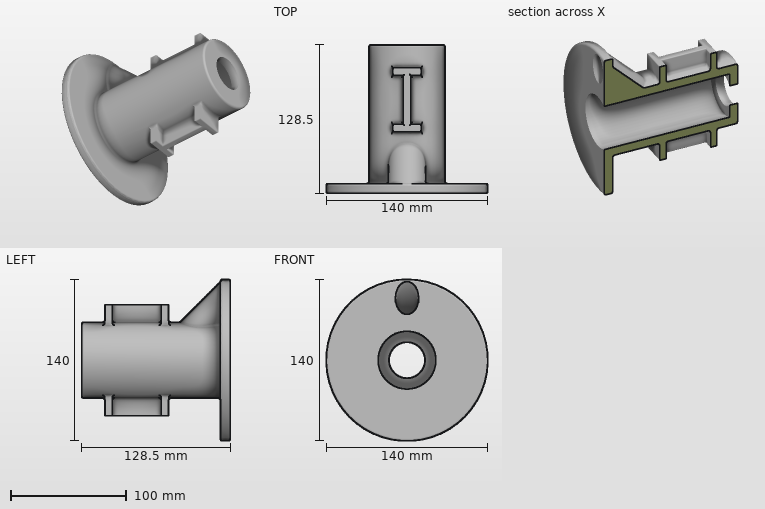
import cadquery as cq
import math

flange_diameter = 140
flange_thickness = 8.5
total_length = 128.5
tube_diameter = 66.0
edge_radius = 2.0

bore_diameter = 50.0
end_hole_diameter = 31.0
end_wall = (tube_diameter - bore_diameter) / 2

branch_diameter = 32.0
branch_hole_diameter = 20.0
branch_height = 53.8
branch_angle = 45

grip_length = 55.2
grip_width = 25.0
grip_bar = 6.5
grip_center_y = 80.9
grip_reach = 48.2
grip_edge_radius = 1.0

flange_radius = flange_diameter / 2
tube_radius = tube_diameter / 2
margin = 0.07


def cylinder_along_y(diameter, start, end):
    """Cylinder on the tube axis between two Y positions."""
    base = cq.Vector(0, start, 0)
    direction = cq.Vector(0, 1, 0)
    return cq.Workplane(cq.Solid.makeCylinder(diameter / 2, end - start, base, direction))


def branch_cylinder(diameter):
    """Slanted cylinder from in front of the flange face to the tube axis."""
    slope = math.radians(branch_angle)
    direction = cq.Vector(0, math.cos(slope), -math.sin(slope))
    length = branch_height / math.sin(slope)
    lead = diameter
    start = cq.Vector(0, 0, branch_height) - direction * lead
    return cq.Workplane(cq.Solid.makeCylinder(diameter / 2, length + lead, start, direction))


def grip(side):
    """I-shaped grip from the tube axis outwards, above (side = 1) or below (side = -1)."""
    bar_offset = (grip_length - grip_bar) / 2
    base = cq.Workplane("XY").center(0, grip_center_y)
    web = base.rect(grip_bar, grip_length).extrude(side * grip_reach)
    bars = base.pushPoints([(0, -bar_offset), (0, bar_offset)]).rect(grip_width, grip_bar)
    shape = web.union(bars.extrude(side * grip_reach))
    outer_face = ">Z" if side > 0 else "<Z"
    return shape.faces(outer_face).edges().fillet(grip_edge_radius)


def tube_and_flange():
    """Solid tube on the flange with the branch, all joints between them filleted."""
    flange = cylinder_along_y(flange_diameter, 0, flange_thickness).edges("%CIRCLE").fillet(edge_radius)
    tube = cylinder_along_y(tube_diameter, 0, total_length).faces(">Y").edges().fillet(edge_radius)
    behind_flange = cylinder_along_y(2 * flange_diameter, flange_thickness, total_length)
    branch = branch_cylinder(branch_diameter).intersect(behind_flange)
    body = flange.union(tube).union(branch)
    joints = cq.selectors.BoxSelector(
        (-tube_radius - margin, flange_thickness - margin, -tube_radius - margin),
        (tube_radius + margin, total_length / 2, flange_radius - edge_radius),
        boundingbox=True,
    )
    return body.edges(joints).fillet(edge_radius)


def add_grip(body, side):
    """Join one grip to the body and fillet its foot against the tube."""
    half_width = grip_width / 2 + margin
    half_length = grip_length / 2 + margin
    foot = cq.selectors.BoxSelector(
        (-half_width, grip_center_y - half_length, 0),
        (half_width, grip_center_y + half_length, side * (tube_radius + margin)),
        boundingbox=True,
    )
    return body.union(grip(side)).edges(foot).fillet(edge_radius)


body = tube_and_flange()
for side in (1, -1):
    body = add_grip(body, side)

bore = cylinder_along_y(bore_diameter, 0, total_length - end_wall)
end_hole = cylinder_along_y(end_hole_diameter, 0, total_length)
branch_hole = branch_cylinder(branch_hole_diameter)
result = body.cut(bore).cut(end_hole).cut(branch_hole)